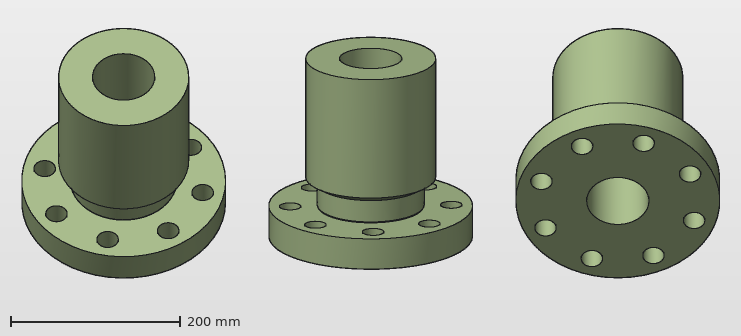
import cadquery as cq
import math

flange_diameter = 241.2
flange_thickness = 38.0
bolt_count = 8
bolt_circle_diameter = 190.5
bolt_hole_diameter = 25.3

overall_height = 222.2
sleeve_diameter = 154.0
sleeve_bottom_z = 74.0
neck_diameter = 127.0
shoulder_angle = 30.0
neck_foot_inset = 0.7
neck_foot_height = 1.5

bore_diameter = 73.5

flange_radius = flange_diameter / 2
sleeve_radius = sleeve_diameter / 2
neck_radius = neck_diameter / 2
bore_radius = bore_diameter / 2
shoulder_height = (sleeve_radius - neck_radius) * math.tan(math.radians(shoulder_angle))
neck_top_z = sleeve_bottom_z - shoulder_height


def turned_body():
    """Flange, neck, conical shoulder and bored sleeve as one revolved section."""
    section = [
        (bore_radius, 0),
        (flange_radius, 0),
        (flange_radius, flange_thickness),
        (neck_radius - neck_foot_inset, flange_thickness),
        (neck_radius, flange_thickness + neck_foot_height),
        (neck_radius, neck_top_z),
        (sleeve_radius, sleeve_bottom_z),
        (sleeve_radius, overall_height),
        (bore_radius, overall_height),
    ]
    return cq.Workplane("XZ").polyline(section).close().revolve(360, (0, 0, 0), (0, 1, 0))


def bolt_holes():
    """Cylinders on the bolt circle, the first one on the +X axis."""
    return (
        cq.Workplane("XY")
        .polarArray(bolt_circle_diameter / 2, 0, 360, bolt_count)
        .circle(bolt_hole_diameter / 2)
        .extrude(flange_thickness)
    )


result = turned_body().cut(bolt_holes())